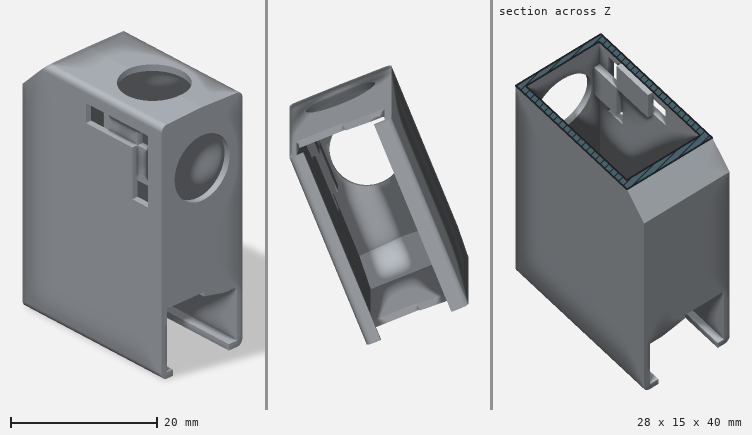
import cadquery as cq

length = 28.0
width = 15.0
height = 40.0
wall = 1.0
mid_y = width / 2

crown_rise = 0.3
edge_radius = 1.0
nose_chamfer = 5.0

hole_diameter = 10.2
roof_hole_x = 18.4
end_hole_z = 30.5

front_lip_width = 2.1
back_lip_width = 2.5

opening_top = 10.9
opening_step_y = 7.85
opening_step_z = 10.25
opening_slope_y = 11.8
opening_shoulder_z = 9.35

slot_width = 3.1
slot_right = 25.2
slot_top = 37.2
slot_length_x = 12.5
slot_length_z = 11.2
slot_end_window = 2.55
panel_thickness = 1.0


def box(x_range, y_range, z_range):
    """Axis-aligned block given by its limits along each axis."""
    limits = (x_range, y_range, z_range)
    sizes = [high - low for low, high in limits]
    corner = tuple(low for low, high in limits)
    return cq.Workplane("XY").box(*sizes, centered=False).translate(corner)


def end_profile(points, x_start, x_length):
    """Prism along X with a (Y, Z) outline."""
    return cq.Workplane("YZ").workplane(offset=x_start).polyline(points).close().extrude(x_length)


def crowned_outline(inset):
    """(Y, Z) outline of the body with a shallow ridge roof, moved inward by the inset."""
    eave = height - crown_rise - inset
    return [
        (inset, inset),
        (width - inset, inset),
        (width - inset, eave),
        (mid_y, height - inset),
        (inset, eave),
    ]


def nose_cutter(inset):
    """Wedge that slopes the upper -X edge, moved inward by the inset."""
    leg = nose_chamfer + inset * 2 ** 0.5
    outline = [(0, height - leg), (0, height), (leg, height)]
    return cq.Workplane("XZ").polyline(outline).close().extrude(-width)


def shell():
    outer = end_profile(crowned_outline(0), 0, length).edges("|X and (<Y or >Y)").fillet(edge_radius)
    cavity = end_profile(crowned_outline(wall), wall, length - 2 * wall)
    return outer.cut(nose_cutter(0)).cut(cavity.cut(nose_cutter(wall)))


def end_openings():
    """Stepped opening that runs through both end walls above the lips."""
    outline = [
        (wall, wall),
        (width - wall, wall),
        (width - wall, opening_shoulder_z),
        (opening_slope_y, opening_shoulder_z),
        (opening_step_y, opening_step_z),
        (opening_step_y, opening_top),
        (wall, opening_top),
    ]
    return end_profile(outline, 0, length)


def bottom_opening():
    return box((0, length), (front_lip_width, width - back_lip_width), (0, wall))


def roof_hole():
    underside = height - crown_rise - wall
    hole = cq.Workplane("XY").workplane(offset=underside).center(roof_hole_x, mid_y).circle(hole_diameter / 2)
    return hole.extrude(height - underside)


def end_hole():
    hole = cq.Workplane("YZ").workplane(offset=length - wall).center(mid_y, end_hole_z)
    return hole.circle(hole_diameter / 2).extrude(wall)


slot_left = slot_right - slot_length_x
slot_bottom = slot_top - slot_length_z
arm_inner_x = slot_right - slot_width
arm_inner_z = slot_top - slot_width


def slot():
    across = box((slot_left, slot_right), (0, wall), (arm_inner_z, slot_top))
    down = box((arm_inner_x, slot_right), (0, wall), (slot_bottom, slot_top))
    return across.union(down)


def panels():
    """Panels behind the arms, joined to the roof and the +X wall, leaving the corner and both ends open."""
    depth = (wall, wall + panel_thickness)
    panel_top = height - crown_rise - wall
    across = box((slot_left + slot_end_window, arm_inner_x), depth, (arm_inner_z, panel_top))
    down = box((arm_inner_x, length - wall), depth, (slot_bottom + slot_end_window, arm_inner_z))
    return across.union(down)


body = shell().cut(end_openings()).cut(bottom_opening()).cut(roof_hole()).cut(end_hole())
result = body.cut(slot()).union(panels())